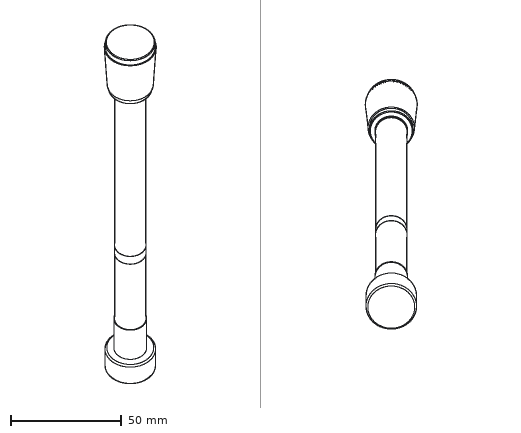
import cadquery as cq

total_height = 213.0
rod_end_diameter = 15.0
waist_diameter = 14.3
waist_bottom = 31.7
waist_top = 181.5
band_diameter = 14.5
band_bottom = 74.8
band_top = 80.0
foot_diameter = 23.0
foot_height = 12.5
foot_chamfer = 0.9

grip_bottom = 182.5
collar_diameter = 19.8
collar_chamfer = 0.5
cone_bottom = 185.5
cone_bottom_diameter = 21.0
cone_top = 209.9
cone_top_diameter = 23.7
cap_diameter = 22.5
cap_chamfer = 0.5
socket_top = cone_top


def cylinder(diameter, bottom, top):
    """Vertical cylinder on the Z axis between two heights."""
    return cq.Workplane("XY").workplane(offset=bottom).circle(diameter / 2).extrude(top - bottom)


def make_rod():
    """Rod with a slim banded waist, standing in a chamfered round foot."""
    foot = cylinder(foot_diameter, 0, foot_height).faces("<Z or >Z").chamfer(foot_chamfer)
    lower_end = cylinder(rod_end_diameter, foot_height, waist_bottom)
    waist = cylinder(waist_diameter, waist_bottom, waist_top)
    band = cylinder(band_diameter, band_bottom, band_top)
    upper_end = cylinder(rod_end_diameter, waist_top, socket_top)
    return foot.union(lower_end).union(waist).union(band).union(upper_end)


def make_grip():
    """Tapered grip with a lower collar, a round cap and a blind socket for the rod."""
    collar = cylinder(collar_diameter, grip_bottom, cone_bottom).faces("<Z").chamfer(collar_chamfer)
    cone = (
        cq.Workplane("XY")
        .workplane(offset=cone_bottom)
        .circle(cone_bottom_diameter / 2)
        .workplane(offset=cone_top - cone_bottom)
        .circle(cone_top_diameter / 2)
        .loft(ruled=True)
    )
    cap = cylinder(cap_diameter, cone_top, total_height).faces(">Z").chamfer(cap_chamfer)
    socket = cylinder(rod_end_diameter, grip_bottom, socket_top)
    return collar.union(cone).union(cap).cut(socket)


rod = make_rod()
grip = make_grip()

result = cq.Compound.makeCompound([rod.val(), grip.val()])